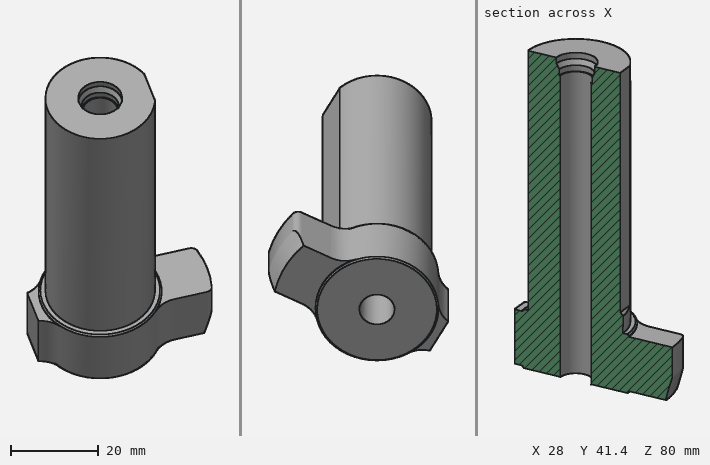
import cadquery as cq
import math

total_height = 80.0
post_radius = 12.5
flat_offset = 11.8
flat_start = 19.2

hub_radius = 14.0
hub_height = 14.9
hub_chamfer = 0.4

arm_inset = 0.6
arm_top = hub_height - arm_inset
blend_radius = 6.7
lever_half_width = 7.0
lever_tip_radius = 25.4
lever_corner_radius = 1.6
foot_half_width = 4.5
foot_reach = 16.0
foot_blend_angle = math.radians(32.2)

relief_height = 6.8
relief_depth = 1.8

bore_radius = 4.0
step_radius = 4.2
step_depth = 4.3
mouth_radius = 5.0
mouth_depth = 1.5
mouth_cone_depth = 2.8


def make_post():
    post = cq.Workplane("XY").circle(post_radius).extrude(total_height)
    flat_depth = post_radius - flat_offset
    flat_cut = (
        cq.Workplane("YZ")
        .moveTo(flat_offset, total_height)
        .lineTo(flat_offset, flat_start + flat_depth)
        .lineTo(post_radius, flat_start)
        .lineTo(post_radius, total_height)
        .close()
        .extrude(post_radius, both=True)
    )
    return post.cut(flat_cut)


def make_hub():
    hub = cq.Workplane("XY").circle(hub_radius).extrude(hub_height)
    return hub.faces("<Z or >Z").chamfer(hub_chamfer)


def make_lever():
    blend_x = lever_half_width + blend_radius
    blend_y = math.sqrt((hub_radius + blend_radius) ** 2 - blend_x**2)
    hub_share = hub_radius / (hub_radius + blend_radius)
    hub_x = blend_x * hub_share
    hub_y = blend_y * hub_share
    corner_y = math.sqrt(lever_tip_radius**2 - lever_half_width**2)
    lever = (
        cq.Workplane("XY")
        .workplane(offset=arm_inset)
        .moveTo(0, 0)
        .lineTo(hub_x, hub_y)
        .radiusArc((lever_half_width, blend_y), blend_radius)
        .lineTo(lever_half_width, corner_y)
        .threePointArc((0, lever_tip_radius), (-lever_half_width, corner_y))
        .lineTo(-lever_half_width, blend_y)
        .radiusArc((-hub_x, hub_y), blend_radius)
        .close()
        .extrude(arm_top - arm_inset)
    )
    corner_edges = cq.selectors.BoxSelector(
        (-hub_radius, corner_y - 0.8, 0), (hub_radius, corner_y + 0.8, hub_height)
    )
    lever = lever.edges("|Z").edges(corner_edges).fillet(lever_corner_radius)
    tip_relief = (
        cq.Workplane("XZ")
        .moveTo(lever_tip_radius, relief_height)
        .lineTo(lever_tip_radius - relief_depth, arm_inset)
        .lineTo(lever_tip_radius, arm_inset)
        .close()
        .revolve(360, (0, 0), (0, 1))
    )
    return lever.cut(tip_relief)


def make_foot():
    hub_x = hub_radius * math.sin(foot_blend_angle)
    hub_y = -hub_radius * math.cos(foot_blend_angle)
    return (
        cq.Workplane("XY")
        .workplane(offset=arm_inset)
        .moveTo(0, 0)
        .lineTo(-hub_x, hub_y)
        .radiusArc((-foot_half_width, -foot_reach), blend_radius)
        .lineTo(foot_half_width, -foot_reach)
        .radiusArc((hub_x, hub_y), blend_radius)
        .close()
        .extrude(arm_top - arm_inset)
    )


def make_bore():
    return (
        cq.Workplane("XZ")
        .moveTo(0, 0)
        .lineTo(bore_radius, 0)
        .lineTo(bore_radius, total_height - step_depth)
        .lineTo(step_radius, total_height - step_depth)
        .lineTo(step_radius, total_height - mouth_cone_depth)
        .lineTo(mouth_radius, total_height - mouth_depth)
        .lineTo(mouth_radius, total_height)
        .lineTo(0, total_height)
        .close()
        .revolve(360, (0, 0), (0, 1))
    )


body = make_post().union(make_hub()).union(make_lever()).union(make_foot())
result = body.cut(make_bore())